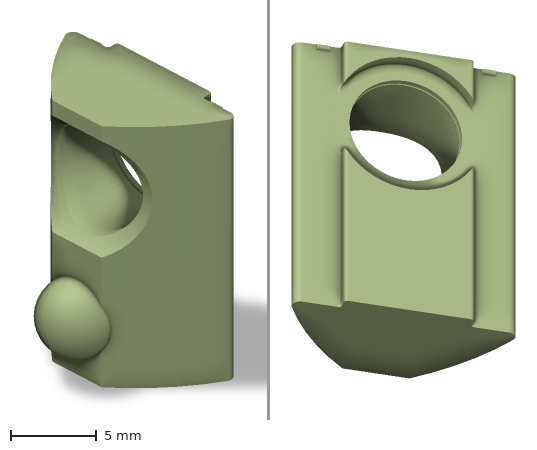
import cadquery as cq
import math

length = 17.8
depth = 7.21
flat_half = 2.03
wing_half = 7.05
bulge_x = 5.13
bulge_y = 3.2
tip_radius = 0.5

rib_half = 3.92
rib_height = 0.8
rib_radius = 0.2
wing_y = depth - rib_height

hole_diameter = 6.8
hole_z = 12.8
saddle_radius = 4.9
saddle_half_height = 3.97
recess_radius = 4.5

seat_y = 5.95
ring_gap = 0.15

ball_diameter = 5.0
ball_z = 3.97
ball_reach = 2.53
ball_y = ball_diameter / 2 - ball_reach

ridge_length = 0.84
ridge_radius = 0.18
ridge_x = 4.98
ridge_drop = 0.18


def make_profile_prism():
    """Extrude the symmetric section with two curved flanks and a back rib."""
    prism = (
        cq.Workplane("XY")
        .moveTo(-flat_half, 0)
        .lineTo(flat_half, 0)
        .threePointArc((bulge_x, bulge_y), (wing_half, wing_y))
        .lineTo(rib_half, wing_y)
        .lineTo(rib_half, depth)
        .lineTo(-rib_half, depth)
        .lineTo(-rib_half, wing_y)
        .lineTo(-wing_half, wing_y)
        .threePointArc((-bulge_x, bulge_y), (-flat_half, 0))
        .close()
        .extrude(length)
    )
    for edge_x, edge_y, radius in (
        (wing_half, wing_y, tip_radius),
        (rib_half, depth, rib_radius),
        (rib_half, wing_y, rib_radius),
    ):
        for side in (-1, 1):
            edge = cq.selectors.NearestToPointSelector((side * edge_x, edge_y, length / 2))
            prism = prism.edges("|Z").edges(edge).fillet(radius)
    return prism


def make_y_cylinder(radius, start_y, end_y):
    """Cylinder along Y on the axis of the cross hole."""
    return cq.Workplane(
        cq.Solid.makeCylinder(radius, end_y - start_y, cq.Vector(0, start_y, hole_z), cq.Vector(0, 1, 0))
    )


def make_saddle():
    """Cylinder along X that scoops the front out around the hole."""
    axis_y = -math.sqrt(saddle_radius**2 - saddle_half_height**2)
    start = cq.Vector(-wing_half, axis_y, hole_z)
    return cq.Workplane(cq.Solid.makeCylinder(saddle_radius, 2 * wing_half, start, cq.Vector(1, 0, 0)))


def make_ridge(side):
    """Short round bar along X, half sunk into the back of one wing."""
    start = cq.Vector(side * ridge_x - ridge_length / 2, wing_y, length - ridge_drop)
    return cq.Workplane(cq.Solid.makeCylinder(ridge_radius, ridge_length, start, cq.Vector(1, 0, 0)))


def make_ball():
    return cq.Workplane("XY").sphere(ball_diameter / 2).translate((0, ball_y, ball_z))


def make_ring():
    """Flat ring with the same bore as the cross hole."""
    front_y = seat_y + ring_gap
    disc = make_y_cylinder(recess_radius, front_y, wing_y)
    return disc.cut(make_y_cylinder(hole_diameter / 2, front_y, wing_y))


def make_nut():
    nut = make_profile_prism()
    nut = nut.cut(make_y_cylinder(hole_diameter / 2, 0, depth))
    nut = nut.cut(make_y_cylinder(recess_radius, seat_y, depth))
    nut = nut.cut(make_saddle())
    for side in (-1, 1):
        nut = nut.union(make_ridge(side))
    return nut.cut(make_ball())


nut = make_nut()
ring = make_ring()
ball = make_ball()
result = cq.Compound.makeCompound([nut.val(), ring.val(), ball.val()])